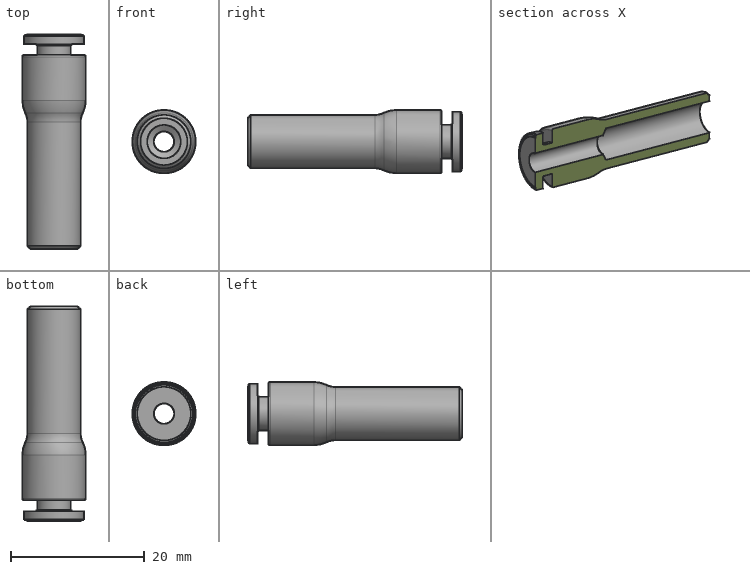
import cadquery as cq
import math


total_length = 32.1
collar_thickness = 1.5
neck_length = 1.6
body_length = 6.8
shoulder_length = 3.2
collar_pad_height = 0.1

stem_radius = 8.0 / 2
body_radius = 9.5 / 2
collar_radius = 9.0 / 2
neck_radius = 5.05 / 2
collar_pad_radius = 8.0 / 2

stem_chamfer = 0.5
body_edge_radius = 0.3
collar_chamfer = 0.2
neck_chamfer = 0.2

shoulder_concave_radius = 3.0

stem_bore_radius = 5.0 / 2
through_radius = 3.0 / 2
cone_half_angle = math.radians(60)

collar_top = total_length - collar_pad_height
collar_bottom = total_length - collar_thickness
body_top = collar_bottom - neck_length
body_bottom = body_top - body_length

shoulder_bottom = body_bottom - shoulder_length

shoulder_drop = body_radius - stem_radius
shoulder_radii = (shoulder_length**2 + shoulder_drop**2) / (2 * shoulder_drop)
shoulder_convex_radius = shoulder_radii - shoulder_concave_radius
shoulder_angle = math.asin(shoulder_length / shoulder_radii)


def convex_point(angle):
    """Point on the shoulder arc that leaves the body, turned by angle."""
    center_x = body_radius - shoulder_convex_radius
    x = center_x + shoulder_convex_radius * math.cos(angle)
    y = body_bottom - shoulder_convex_radius * math.sin(angle)
    return (x, y)


def concave_point(angle):
    """Point on the shoulder arc that joins the stem, turned by angle."""
    center_x = stem_radius + shoulder_concave_radius
    x = center_x - shoulder_concave_radius * math.cos(angle)
    y = shoulder_bottom + shoulder_concave_radius * math.sin(angle)
    return (x, y)


def make_outer_form():
    """Revolve the outer profile, drawn from the stem end up to the collar."""
    half_angle = shoulder_angle / 2
    body_edge_inset = body_edge_radius * (1 - math.sqrt(0.5))
    return (
        cq.Workplane("XY")
        .lineTo(stem_radius - stem_chamfer, 0)
        .lineTo(stem_radius, stem_chamfer)
        .lineTo(stem_radius, shoulder_bottom)
        .threePointArc(concave_point(half_angle), concave_point(shoulder_angle))
        .threePointArc(convex_point(half_angle), (body_radius, body_bottom))
        .lineTo(body_radius, body_top - body_edge_radius)
        .threePointArc(
            (body_radius - body_edge_inset, body_top - body_edge_inset),
            (body_radius - body_edge_radius, body_top),
        )
        .lineTo(neck_radius, body_top)
        .lineTo(neck_radius, collar_bottom - neck_chamfer)
        .lineTo(neck_radius + neck_chamfer, collar_bottom)
        .lineTo(collar_radius, collar_bottom)
        .lineTo(collar_radius, collar_top - collar_chamfer)
        .lineTo(collar_radius - collar_chamfer, collar_top)
        .lineTo(collar_pad_radius, collar_top)
        .lineTo(collar_pad_radius, total_length)
        .lineTo(0, total_length)
        .close()
        .revolve(360, (0, 0, 0), (0, 1, 0))
    )


def make_bore():
    """Stem bore as deep as the straight stem, coned down to the through hole."""
    cone_length = (stem_bore_radius - through_radius) / math.tan(cone_half_angle)
    return (
        cq.Workplane("XY")
        .lineTo(stem_bore_radius, 0)
        .lineTo(stem_bore_radius, shoulder_bottom)
        .lineTo(through_radius, shoulder_bottom + cone_length)
        .lineTo(through_radius, total_length)
        .lineTo(0, total_length)
        .close()
        .revolve(360, (0, 0, 0), (0, 1, 0))
    )


result = make_outer_form().cut(make_bore())